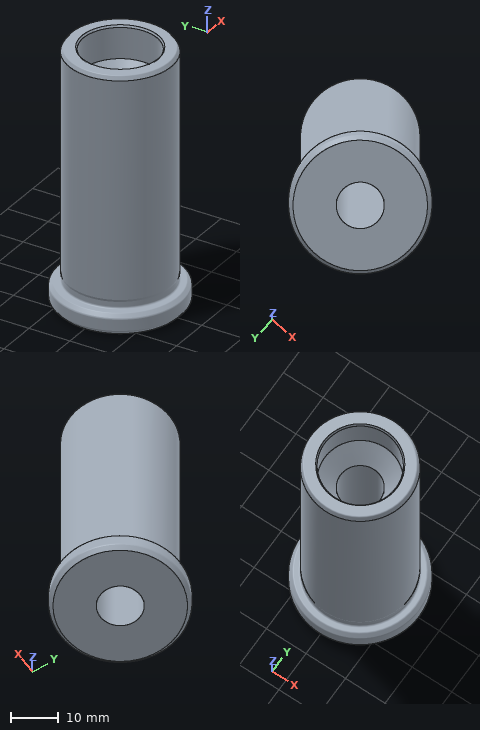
import cadquery as cq
import math

length = 61.0
body_radius = 25.0 / 2
flange_radius = 30.0 / 2
flange_height = 5.0
flange_chamfer = 1.0
flange_edge_round = 0.5

undercut_radius = 24.7 / 2
undercut_top = 7.2
undercut_taper_height = 0.55
undercut_fillet = 0.5

lead_height = 1.0
lead_angle = math.radians(30)
end_round = 0.35

bore_radius = 18.0 / 2
bore_depth = 8.0
bore_chamfer_width = 0.3
bore_chamfer_height = 0.5
through_radius = 10.0 / 2
cone_half_angle = math.radians(45)


def make_flange():
    """Chamfered disc with every chamfer edge rounded except the one on the bottom face."""
    flange = cq.Workplane("XY").circle(flange_radius).extrude(flange_height)
    flange = flange.faces("<Z or >Z").chamfer(flange_chamfer)
    rim_edges = flange.edges("%CIRCLE").edges("not <Z")
    return rim_edges.fillet(flange_edge_round)


def make_body():
    """Revolved shank with the undercut at its foot and a rounded lead-in at its end."""
    end_radius = body_radius - lead_height * math.tan(lead_angle)
    shank = (
        cq.Workplane("XZ")
        .lineTo(undercut_radius + undercut_fillet, 0)
        .lineTo(undercut_radius + undercut_fillet, flange_height)
        .radiusArc((undercut_radius, flange_height + undercut_fillet), undercut_fillet)
        .lineTo(undercut_radius, undercut_top - undercut_taper_height)
        .lineTo(body_radius, undercut_top)
        .lineTo(body_radius, length - lead_height)
        .lineTo(end_radius, length)
        .lineTo(0, length)
        .close()
        .revolve(360, (0, 0, 0), (0, 1, 0))
    )
    return shank.faces(">Z").edges().fillet(end_round)


def make_bore():
    """Through hole, conical seat and wide mouth with a chamfered rim."""
    bore_floor = length - bore_depth
    cone_height = (bore_radius - through_radius) / math.tan(cone_half_angle)
    return (
        cq.Workplane("XZ")
        .lineTo(through_radius, 0)
        .lineTo(through_radius, bore_floor - cone_height)
        .lineTo(bore_radius, bore_floor)
        .lineTo(bore_radius, length - bore_chamfer_height)
        .lineTo(bore_radius + bore_chamfer_width, length)
        .lineTo(0, length)
        .close()
        .revolve(360, (0, 0, 0), (0, 1, 0))
    )


result = make_flange().union(make_body()).cut(make_bore())